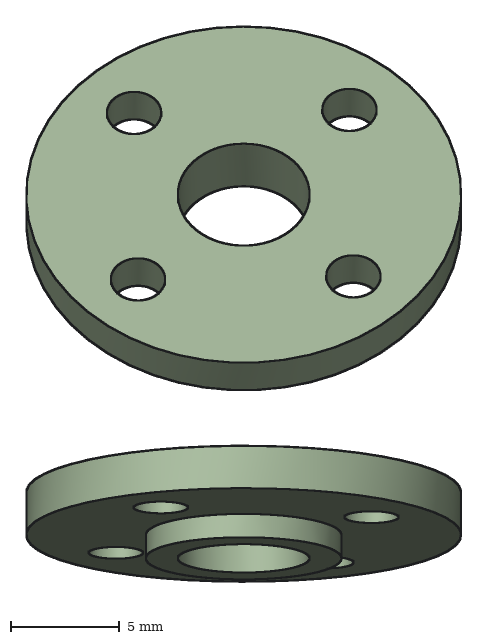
import cadquery as cq

flange_diameter = 20.0
flange_thickness = 2.0
hub_diameter = 9.0
hub_length = 1.1
bore_diameter = 6.05
bolt_hole_diameter = 2.5
bolt_circle_diameter = 14.0
bolt_hole_count = 4


def make_body():
    """Round flange with a smaller hub hanging from its lower face (Z = 0)."""
    flange = cq.Workplane("XY").circle(flange_diameter / 2).extrude(flange_thickness)
    hub = cq.Workplane("XY").circle(hub_diameter / 2).extrude(-hub_length)
    return flange.union(hub)


def cut_bore(body):
    """Central bore through the flange and the hub."""
    return body.faces(">Z").workplane().circle(bore_diameter / 2).cutThruAll()


def cut_bolt_holes(body):
    """Through holes evenly spaced on the bolt circle, the first on +X."""
    return (
        body.faces(">Z")
        .workplane(origin=(0, 0, flange_thickness))
        .polarArray(bolt_circle_diameter / 2, 0, 360, bolt_hole_count)
        .circle(bolt_hole_diameter / 2)
        .cutThruAll()
    )


result = cut_bolt_holes(cut_bore(make_body()))